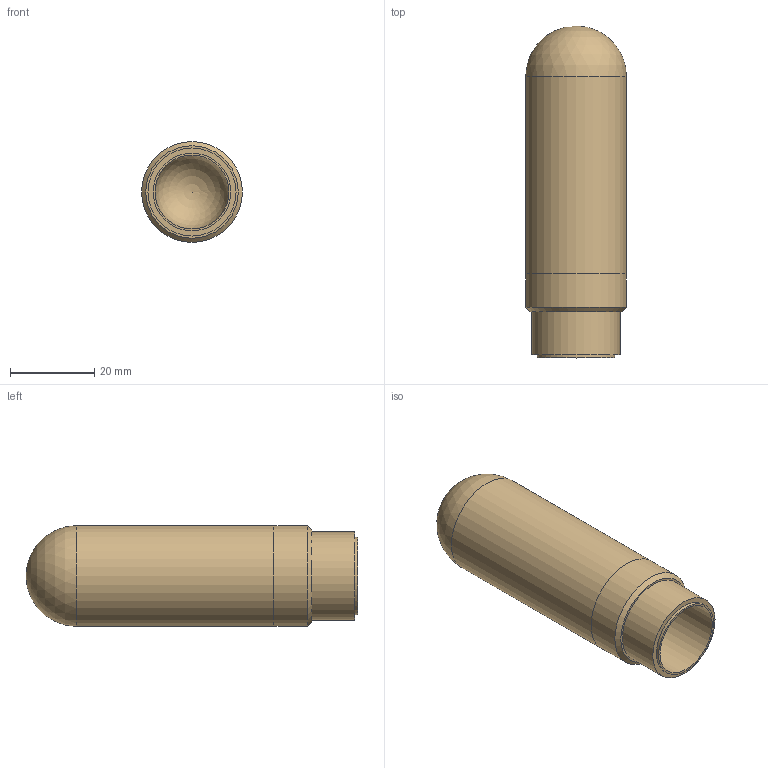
import cadquery as cq
import math

body_diameter = 24.0
total_length = 79.0

lip_diameter = 18.5
lip_height = 0.75
neck_diameter = 20.95
collar_diameter = 23.99
collar_chamfer = 1.0

shoulder_distance = 11.0
joint_distance = 20.0

bore_diameter = 17.6

body_radius = body_diameter / 2
lip_radius = lip_diameter / 2
neck_radius = neck_diameter / 2
collar_radius = collar_diameter / 2
bore_radius = bore_diameter / 2

dome_center_y = 0.0
dome_tip_y = dome_center_y + body_radius
open_end_y = dome_tip_y - total_length
neck_end_y = open_end_y + lip_height
shoulder_y = open_end_y + shoulder_distance
joint_y = open_end_y + joint_distance


def spin_with_dome(profile, radius):
    """Finish a half profile with a quarter-circle dome and revolve it about Y."""
    diagonal = radius * math.sqrt(0.5)
    arc_midpoint = (diagonal, dome_center_y + diagonal)
    arc_end = (0, dome_center_y + radius)
    return (
        profile
        .lineTo(radius, dome_center_y)
        .threePointArc(arc_midpoint, arc_end)
        .close()
        .revolve(360, (0, 0, 0), (0, 1, 0))
    )


def make_outer_body():
    """Solid capsule with lip, neck, chamfered collar and domed end."""
    profile = (
        cq.Workplane("XY")
        .moveTo(0, open_end_y)
        .lineTo(lip_radius, open_end_y)
        .lineTo(lip_radius, neck_end_y)
        .lineTo(neck_radius, neck_end_y)
        .lineTo(neck_radius, shoulder_y)
        .lineTo(collar_radius - collar_chamfer, shoulder_y)
        .lineTo(collar_radius, shoulder_y + collar_chamfer)
        .lineTo(collar_radius, joint_y)
        .lineTo(body_radius, joint_y)
    )
    return spin_with_dome(profile, body_radius)


def make_bore():
    """Blind bore with a domed end, open at the lip."""
    profile = (
        cq.Workplane("XY")
        .moveTo(0, open_end_y)
        .lineTo(bore_radius, open_end_y)
    )
    return spin_with_dome(profile, bore_radius)


result = make_outer_body().cut(make_bore())